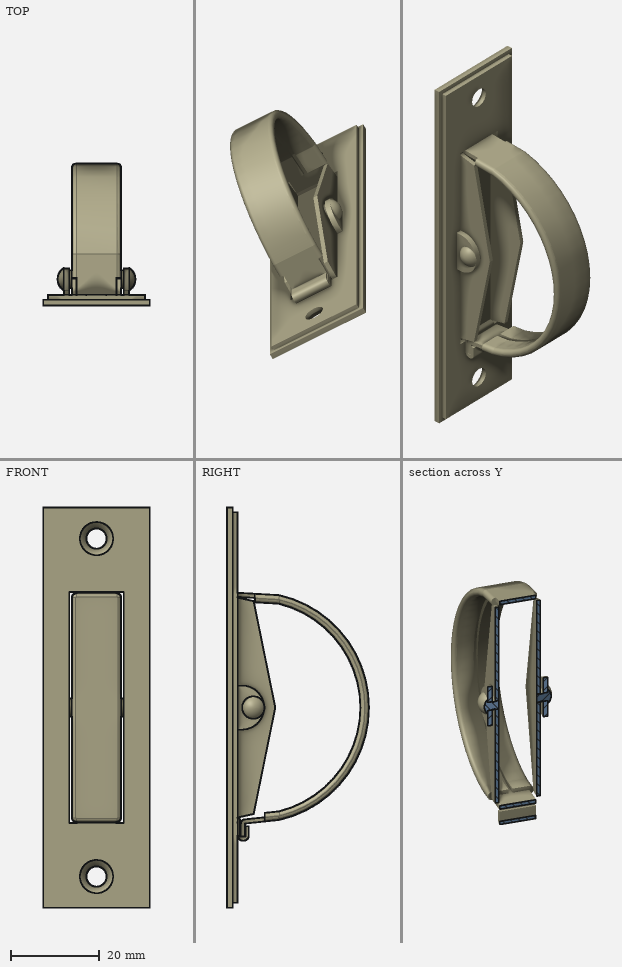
import cadquery as cq
import math


plate_width = 24.0
plate_height = 90.0
face_thickness = 1.35
backing_thickness = 1.1
backing_inset = 1.1
plate_back = face_thickness + backing_thickness

opening_width = 12.15
opening_height = 51.8

screw_spacing = 76.0
screw_hole_diameter = 4.5
countersink_diameter = 7.5
countersink_angle = 90.0

ear_thickness = 1.3
ear_radius = 4.95
ear_center_y = 3.4
ear_inner_x = opening_width / 2
ear_outer_x = ear_inner_x + ear_thickness

pivot_y = 5.9
shank_radius = 2.1
head_radius = 2.5
head_height = 1.4

sheet = 1.0
handle_width = 11.1
half_width = handle_width / 2
panel_front = 0.7
panel_height = 51.5
half_panel = panel_height / 2
bend_radius = 0.8
tab_width = 8.9

wing_end_z = half_panel - bend_radius
wing_shoulder_y = 6.0
wing_shoulder_z = 23.9
wing_tip_y = 10.9

strap_tip_y = 31.95
bow_start_y = 11.7
bow_start_z = 25.3
upper_leg_slope = math.tan(math.radians(3.3))
lower_leg_slope = math.tan(math.radians(6.0))
strap_thickness = 2 * sheet
hem_gap = 1.0
hem_radius = 0.945
upper_hem_end_y = 6.3
lower_hem_end_y = 8.5

hook_back = 4.95
hook_bottom_z = -30.0
hook_wall = 0.8
hook_slot_back = hook_back - hook_wall
hook_slot_width = 1.2
hook_slot_bottom_z = hook_bottom_z + sheet
hook_lip_z = -26.6
strap_end_clearance = 0.045

quarter_arc_dip = 1 - math.cos(math.pi / 4)


def extrude_across(profile, width):
    """Extrude a Y-Z profile symmetrically about X = 0."""
    return profile.extrude(width / 2, both=True)


def x_cylinder(radius, start_x, end_x):
    """Cylinder on the pivot axis between two X positions."""
    start_plane = cq.Workplane("YZ", origin=(start_x, pivot_y, 0))
    return start_plane.circle(radius).extrude(end_x - start_x)


def make_ear():
    """Right-hand ear: a round-topped lug standing on the back of the plate."""
    return (
        cq.Workplane("YZ", origin=(ear_inner_x, 0, 0))
        .moveTo(plate_back, -ear_radius)
        .lineTo(ear_center_y, -ear_radius)
        .threePointArc((ear_center_y + ear_radius, 0), (ear_center_y, ear_radius))
        .lineTo(plate_back, ear_radius)
        .close()
        .extrude(ear_thickness)
        .cut(x_cylinder(shank_radius, ear_inner_x, ear_outer_x))
    )


def make_plate():
    """Face plate with its opening, countersunk screw holes and ears."""
    front_plane = cq.Workplane("XZ")
    plate = front_plane.rect(plate_width, plate_height).extrude(-face_thickness)
    backing = front_plane.rect(
        plate_width - 2 * backing_inset, plate_height - 2 * backing_inset
    ).extrude(-plate_back)
    plate = plate.union(backing)
    plate = plate.cut(front_plane.rect(opening_width, opening_height).extrude(-plate_back))
    plate = (
        plate.faces("<Y")
        .workplane(origin=(0, 0, 0))
        .pushPoints([(0, -screw_spacing / 2), (0, screw_spacing / 2)])
        .cskHole(screw_hole_diameter, countersink_diameter, countersink_angle)
    )
    ear = make_ear()
    return plate.union(ear).union(ear.mirror("YZ"))


def make_panel():
    """Finger panel with rounded bends on all four front edges."""
    return (
        cq.Workplane("XZ", origin=(0, panel_front, 0))
        .rect(handle_width, panel_height)
        .extrude(-sheet)
        .edges("|Y")
        .fillet(sheet)
        .faces("<Y")
        .edges()
        .fillet(bend_radius)
    )


def make_wings():
    """Two side wings, folded back from the panel and drilled for the rivets."""
    outline = (
        cq.Workplane("YZ")
        .moveTo(panel_front + bend_radius, wing_end_z)
        .lineTo(wing_shoulder_y, wing_shoulder_z)
        .lineTo(wing_tip_y, 0)
        .lineTo(wing_shoulder_y, -wing_shoulder_z)
        .lineTo(panel_front + bend_radius, -wing_end_z)
        .close()
    )
    wings = extrude_across(outline, handle_width)
    inside = cq.Workplane("XY").box(handle_width - 2 * sheet, 2 * wing_tip_y, panel_height)
    return wings.cut(inside).cut(x_cylinder(shank_radius, -half_width, half_width))


def upper_leg_z(y, depth):
    """Height of the upper leg at a given depth inside the strap's outer surface."""
    return bow_start_z - depth + upper_leg_slope * (bow_start_y - y)


def lower_leg_z(y, depth):
    """Height of the lower leg at a given depth inside the strap's outer surface."""
    return depth - bow_start_z - lower_leg_slope * (bow_start_y - y)


def strap_band(width, outer_depth, inner_depth):
    """The bow and its hemmed legs, between two depths inside the outer surface."""
    outline = (
        cq.Workplane("YZ")
        .moveTo(upper_hem_end_y, upper_leg_z(upper_hem_end_y, outer_depth))
        .lineTo(bow_start_y, upper_leg_z(bow_start_y, outer_depth))
        .threePointArc((strap_tip_y - outer_depth, 0), (bow_start_y, lower_leg_z(bow_start_y, outer_depth)))
        .lineTo(lower_hem_end_y, lower_leg_z(lower_hem_end_y, outer_depth))
        .lineTo(lower_hem_end_y, lower_leg_z(lower_hem_end_y, inner_depth))
        .lineTo(bow_start_y, lower_leg_z(bow_start_y, inner_depth))
        .threePointArc((strap_tip_y - inner_depth, 0), (bow_start_y, upper_leg_z(bow_start_y, inner_depth)))
        .lineTo(upper_hem_end_y, upper_leg_z(upper_hem_end_y, inner_depth))
        .close()
    )
    return extrude_across(outline, width)


def make_strap():
    """Strap with round hemmed edges and a narrow gap between the two hems inside."""
    hemmed = strap_band(handle_width, 0, strap_thickness)
    hemmed = hemmed.faces("<X or >X").edges("not |Z").fillet(hem_radius)
    return hemmed.cut(strap_band(hem_gap, sheet, strap_thickness))


def make_upper_tab():
    """Single-sheet tab that joins the top of the panel to the strap."""
    bend_y = panel_front + bend_radius
    outline = cq.Workplane("YZ").polyline(
        [
            (bend_y, half_panel),
            (plate_back, upper_leg_z(plate_back, 0)),
            (upper_hem_end_y, upper_leg_z(upper_hem_end_y, 0)),
            (upper_hem_end_y, upper_leg_z(upper_hem_end_y, sheet)),
            (plate_back, upper_leg_z(plate_back, sheet)),
            (bend_y, half_panel - sheet),
        ]
    ).close()
    return extrude_across(outline, tab_width)


def make_lower_tab():
    """Single-sheet tab at the free end of the strap, bent down into the hook."""
    back_y = hook_slot_back - strap_end_clearance
    front_y = back_y - sheet
    end_z = hook_slot_bottom_z + strap_end_clearance
    corner_z = lower_leg_z(back_y, 0)
    bend_dip = sheet * quarter_arc_dip
    top_z = lower_leg_z(back_y, sheet)
    outline = (
        cq.Workplane("YZ")
        .moveTo(lower_hem_end_y, lower_leg_z(lower_hem_end_y, 0))
        .lineTo(back_y, corner_z)
        .lineTo(back_y, end_z)
        .lineTo(front_y, end_z)
        .lineTo(front_y, corner_z)
        .threePointArc((front_y + bend_dip, top_z - bend_dip), (back_y, top_z))
        .lineTo(lower_hem_end_y, lower_leg_z(lower_hem_end_y, sheet))
        .close()
    )
    return extrude_across(outline, tab_width)


def make_hook():
    """U-shaped hook below the panel, running down the back of the plate."""
    bend_y = panel_front + bend_radius
    slot_front = hook_slot_back - hook_slot_width
    lip_bend = slot_front - plate_back
    bend_dip = lip_bend * quarter_arc_dip
    flange_top_z = sheet - half_panel
    round_radius = (hook_back - plate_back) / 2
    round_center_z = hook_bottom_z + round_radius
    outline = (
        cq.Workplane("YZ")
        .moveTo(bend_y, -half_panel)
        .lineTo(plate_back, -half_panel)
        .lineTo(plate_back, round_center_z)
        .threePointArc((plate_back + round_radius, hook_bottom_z), (hook_back, round_center_z))
        .lineTo(hook_back, hook_lip_z)
        .lineTo(hook_slot_back, hook_lip_z)
        .lineTo(hook_slot_back, hook_slot_bottom_z)
        .lineTo(slot_front, hook_slot_bottom_z)
        .lineTo(slot_front, flange_top_z - lip_bend)
        .threePointArc((slot_front - bend_dip, flange_top_z - bend_dip), (plate_back, flange_top_z))
        .lineTo(bend_y, flange_top_z)
        .close()
    )
    return extrude_across(outline, tab_width)


def make_handle():
    """Complete folded handle."""
    handle = make_panel().union(make_wings())
    for part in (make_upper_tab(), make_strap(), make_lower_tab(), make_hook()):
        handle = handle.union(part)
    return handle


def make_rivet(side):
    """Domed rivet through an ear and the wing beside it; side is +1 or -1 along X."""
    shank = x_cylinder(shank_radius, half_width - sheet, ear_outer_x)
    dome_radius = (head_radius**2 + head_height**2) / (2 * head_height)
    dome_half_angle = math.asin(head_radius / dome_radius) / 2
    dome_mid_x = head_height - dome_radius * (1 - math.cos(dome_half_angle))
    dome_mid_y = dome_radius * math.sin(dome_half_angle)
    head = (
        cq.Workplane("XY", origin=(ear_outer_x, pivot_y, 0))
        .lineTo(0, head_radius)
        .threePointArc((dome_mid_x, dome_mid_y), (head_height, 0))
        .close()
        .revolve(360, (0, 0, 0), (1, 0, 0))
    )
    rivet = shank.union(head)
    return rivet if side > 0 else rivet.mirror("YZ")


plate = make_plate().solids()
handle = make_handle().solids()
rivets = [make_rivet(side).solids() for side in (1, -1)]

result = cq.Compound.makeCompound([plate.val(), handle.val(), *[rivet.val() for rivet in rivets]])